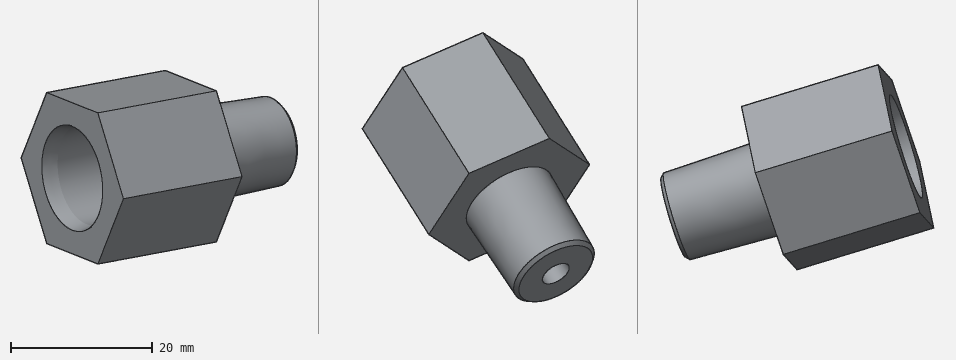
import cadquery as cq

total_length = 34.55
hex_length = 20.3
across_corners = 25.65

spigot_root_diameter = 13.7
spigot_tip_diameter = 12.9
tip_chamfer_length = 0.55
tip_chamfer_width = 0.55

mouth_diameter = 15.25
socket_diameter = 14.3
mouth_taper_length = 2.42
socket_depth = 16.58
bore_diameter = 4.3

mouth_y = -total_length / 2
shoulder_y = mouth_y + hex_length
tip_y = total_length / 2


def revolve_about_axis(profile):
    """Revolve a closed (radius, y) outline about the Y axis."""
    return cq.Workplane("XY").polyline(profile).close().revolve(360, (0, 0, 0), (0, 1, 0))


def make_hex_body():
    """Hexagonal prism with corners on the X axis and flats facing +Z and -Z."""
    return (
        cq.Workplane("XZ", origin=(0, mouth_y, 0))
        .polygon(6, across_corners)
        .extrude(-hex_length)
    )


def make_spigot():
    """Tapered round spigot with a chamfered tip."""
    root_radius = spigot_root_diameter / 2
    tip_radius = spigot_tip_diameter / 2
    return revolve_about_axis([
        (0, shoulder_y),
        (root_radius, shoulder_y),
        (tip_radius, tip_y - tip_chamfer_length),
        (tip_radius - tip_chamfer_width, tip_y),
        (0, tip_y),
    ])


def make_cavity():
    """Socket with a flared mouth, followed by the bore through to the tip."""
    mouth_radius = mouth_diameter / 2
    socket_radius = socket_diameter / 2
    bore_radius = bore_diameter / 2
    socket_floor_y = mouth_y + socket_depth
    return revolve_about_axis([
        (0, mouth_y),
        (mouth_radius, mouth_y),
        (socket_radius, mouth_y + mouth_taper_length),
        (socket_radius, socket_floor_y),
        (bore_radius, socket_floor_y),
        (bore_radius, tip_y),
        (0, tip_y),
    ])


result = make_hex_body().union(make_spigot()).cut(make_cavity())